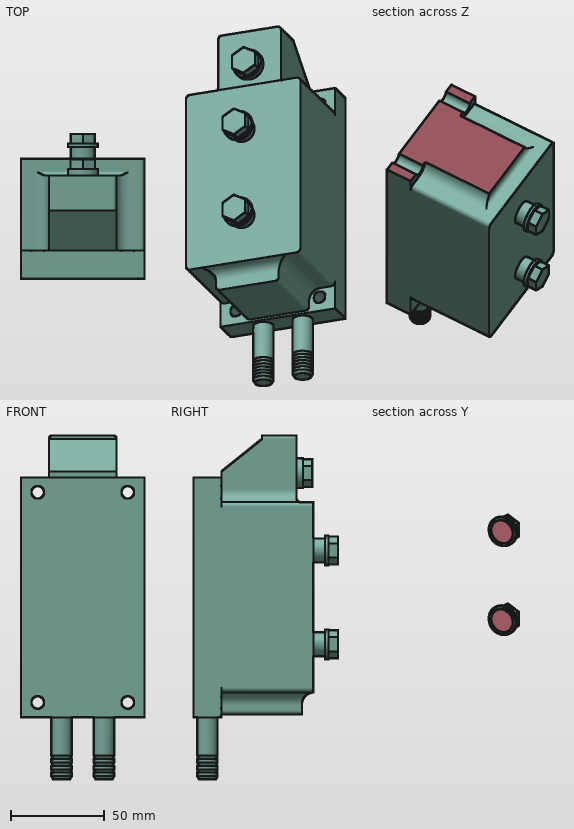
import cadquery as cq
import math

plate_width = 66.0
plate_height = 128.0
plate_thickness = 15.0
plate_hole_diameter = 6.6
plate_hole_spacing_x = 48.0
plate_hole_spacing_z = 112.0

housing_depth = 49.0
housing_end_margin = 13.25
housing_corner_radius = 2.4
housing_bottom = housing_end_margin
housing_top = plate_height - housing_end_margin
housing_back = plate_thickness + housing_depth

neck_width = 36.0
neck_side_flare = 6.6
neck_corner_radius = 2.0

head_depth = 40.0
head_back_flare = 2.2
head_rise = 22.4
head_slope_depth = 21.5
head_slope_start = 3.2
head_top = plate_height + head_rise
head_back = plate_thickness + head_depth

foot_depth = 43.0
foot_back_flare = 6.0
foot_bottom = 1.5

hex_across_flats = 13.0
hex_thickness = 5.1
washer_diameter = 16.0
washer_thickness = 1.9
shank_diameter = 13.0
screw_projection = 13.2
housing_screw_spacing = 50.0
head_screw_height = 130.2
head_washer_thickness = 3.4

nozzle_diameter = 11.0
nozzle_length = 33.0
nozzle_spacing = 22.6
barb_count = 3
barb_land_length = 1.8
barb_taper_length = 1.8
barb_depth = 1.0


def make_plate():
    plate = cq.Workplane("XY").box(
        plate_width, plate_thickness, plate_height, centered=(True, False, False)
    )
    holes = (
        cq.Workplane("XZ", origin=(0, 0, plate_height / 2))
        .rarray(plate_hole_spacing_x, plate_hole_spacing_z, 2, 2)
        .circle(plate_hole_diameter / 2)
        .extrude(-plate_thickness)
    )
    return plate.cut(holes)


def make_housing():
    return (
        cq.Workplane("XY", origin=(0, plate_thickness, housing_bottom))
        .box(plate_width, housing_depth, housing_top - housing_bottom, centered=(True, False, False))
        .edges("|Y")
        .fillet(housing_corner_radius)
    )


def flare_middle(wall, foot_z, radius, side, direction):
    """Midpoint of the concave quarter arc between a wall and the level it stands on.

    wall is the wall's coordinate and foot_z the level of the arc's foot;
    side is the sign of the outward direction, direction that of the wall's growth in Z.
    """
    bulge = radius * (1 - math.sqrt(0.5))
    return (wall + side * bulge, foot_z + direction * bulge)


def make_neck(base_z, end_z, depth, back_flare):
    """Block from base_z to end_z with rounded end corners and a mitred flare at its base."""
    direction = 1 if end_z > base_z else -1
    half_width = neck_width / 2
    flared_half_width = half_width + neck_side_flare
    back = plate_thickness + depth

    side_flare_z = base_z + direction * neck_side_flare
    across = (
        cq.Workplane("XZ", origin=(0, plate_thickness, 0))
        .moveTo(-flared_half_width, base_z)
        .threePointArc(
            flare_middle(-half_width, base_z, neck_side_flare, -1, direction),
            (-half_width, side_flare_z),
        )
        .lineTo(-half_width, end_z)
        .lineTo(half_width, end_z)
        .lineTo(half_width, side_flare_z)
        .threePointArc(
            flare_middle(half_width, base_z, neck_side_flare, 1, direction),
            (flared_half_width, base_z),
        )
        .close()
        .extrude(-(depth + back_flare))
        .edges("|Y")
        .edges(">Z" if direction > 0 else "<Z")
        .fillet(neck_corner_radius)
    )

    along = (
        cq.Workplane("YZ", origin=(-flared_half_width, 0, 0))
        .moveTo(back + back_flare, base_z)
        .threePointArc(
            flare_middle(back, base_z, back_flare, 1, direction),
            (back, base_z + direction * back_flare),
        )
        .lineTo(back, end_z)
        .lineTo(plate_thickness, end_z)
        .lineTo(plate_thickness, base_z)
        .close()
        .extrude(2 * flared_half_width)
    )
    return across.intersect(along)


def make_head():
    head = make_neck(housing_top, head_top, head_depth, head_back_flare)
    slope_top_y = plate_thickness + head_slope_depth
    slope_waste = (
        cq.Workplane("YZ")
        .moveTo(plate_thickness, plate_height + head_slope_start)
        .lineTo(slope_top_y, head_top - neck_corner_radius)
        .lineTo(slope_top_y, head_top)
        .lineTo(plate_thickness, head_top)
        .close()
        .extrude(neck_width, both=True)
    )
    return head.cut(slope_waste)


def make_foot():
    return make_neck(housing_bottom, foot_bottom, foot_depth, foot_back_flare)


def make_disc(diameter, thickness, start_y, z):
    return cq.Workplane("XZ", origin=(0, start_y, z)).circle(diameter / 2).extrude(-thickness)


def make_hexagon(start_y, z):
    """Hexagon nut shape with two of its flats facing -X and +X."""
    across_corners = hex_across_flats / math.cos(math.pi / 6)
    return (
        cq.Workplane("XZ", origin=(0, start_y, z))
        .transformed(rotate=(0, 0, 90))
        .polygon(6, across_corners)
        .extrude(-hex_thickness)
    )


def make_housing_screw(z):
    shank_length = screw_projection - hex_thickness - washer_thickness
    washer_start = housing_back + shank_length
    shank = make_disc(shank_diameter, shank_length, housing_back, z)
    washer = make_disc(washer_diameter, washer_thickness, washer_start, z)
    return shank.union(washer).union(make_hexagon(washer_start + washer_thickness, z))


def make_head_screw():
    washer = make_disc(washer_diameter, head_washer_thickness, head_back, head_screw_height)
    return washer.union(make_hexagon(head_back + head_washer_thickness, head_screw_height))


def make_nozzle(x):
    """Round stem ending in barbs; each taper narrows downwards to a sharp step."""
    radius = nozzle_diameter / 2
    root_radius = radius - barb_depth
    barbs_length = barb_count * (barb_land_length + barb_taper_length)
    z = -(nozzle_length - barbs_length - barb_taper_length)
    profile = (
        cq.Workplane("XZ")
        .lineTo(radius, 0)
        .lineTo(radius, z)
        .lineTo(root_radius, z - barb_taper_length)
    )
    z -= barb_taper_length
    for _ in range(barb_count):
        land_end = z - barb_land_length
        taper_end = land_end - barb_taper_length
        profile = profile.lineTo(radius, z).lineTo(radius, land_end).lineTo(root_radius, taper_end)
        z = taper_end
    return (
        profile.lineTo(0, -nozzle_length)
        .close()
        .revolve(360, (0, 0, 0), (0, 1, 0))
        .translate((x, plate_thickness / 2, 0))
    )


result = make_plate().union(make_housing()).union(make_head()).union(make_foot())
result = result.union(make_head_screw())
for side in (-1, 1):
    result = result.union(make_housing_screw(plate_height / 2 + side * housing_screw_spacing / 2))
    result = result.union(make_nozzle(side * nozzle_spacing / 2))